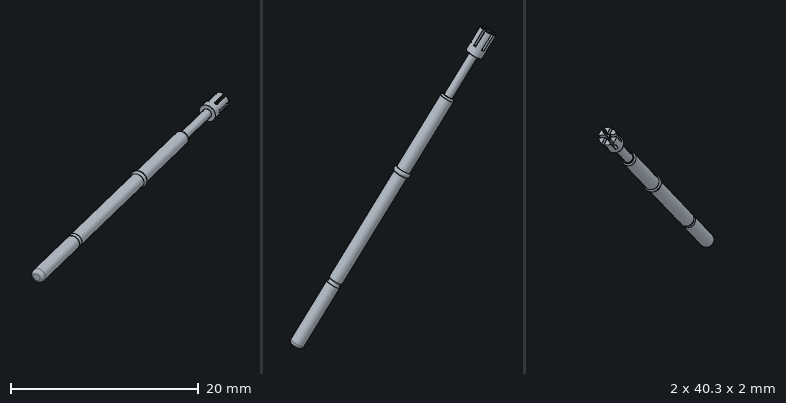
import cadquery as cq

total_length = 40.3

head_radius = 1.0
head_length = 3.0
slot_length = 2.0
slot_width = 0.3
slot_count = 6

shaft_radius = 0.52

barrel_diameter = 1.65
barrel_radius = barrel_diameter / 2
barrel_length = 31.95
mouth_radius = 0.65
mouth_length = 0.25
tail_fillet = 0.45

ring_radius = 1.0
ring_center = 22.3
ring_width = 0.55

groove_center = 8.2
groove_width = 0.5
groove_depth = 0.12


def cylinder(radius, start, length):
    """Round bar along +Y starting at the given Y."""
    return cq.Workplane("XZ", origin=(0, start, 0)).circle(radius).extrude(-length)


def make_barrel():
    """Revolve the barrel with its rounded tail, crimp groove, ring and tapered mouth."""
    tail_flat = barrel_radius - tail_fillet
    groove_start = groove_center - groove_width / 2
    groove_end = groove_center + groove_width / 2
    groove_radius = barrel_radius - groove_depth
    ring_start = ring_center - ring_width / 2
    ring_end = ring_center + ring_width / 2
    profile = (
        cq.Workplane("XY")
        .lineTo(tail_flat, 0)
        .tangentArcPoint((barrel_radius, tail_fillet), relative=False)
        .lineTo(barrel_radius, groove_start)
        .threePointArc((groove_radius, groove_center), (barrel_radius, groove_end))
        .lineTo(barrel_radius, ring_start)
        .threePointArc((ring_radius, ring_center), (barrel_radius, ring_end))
        .lineTo(barrel_radius, barrel_length - mouth_length)
        .lineTo(mouth_radius, barrel_length)
        .lineTo(0, barrel_length)
        .close()
    )
    return profile.revolve(360, (0, 0, 0), (0, 1, 0))


def make_plunger():
    """Thin shaft carrying the head, whose end is cut by evenly spaced radial slots."""
    head_start = total_length - head_length
    shaft = cylinder(shaft_radius, barrel_length, head_start - barrel_length)
    head = cylinder(head_radius, head_start, head_length)
    slot = cq.Workplane("XY").box(head_radius, slot_length, slot_width, centered=(False, False, True))
    slot = slot.translate((0, total_length - slot_length, 0))
    for index in range(slot_count):
        angle = index * 360 / slot_count
        head = head.cut(slot.rotate((0, 0, 0), (0, 1, 0), angle))
    return shaft.union(head)


result = make_barrel().union(make_plunger())